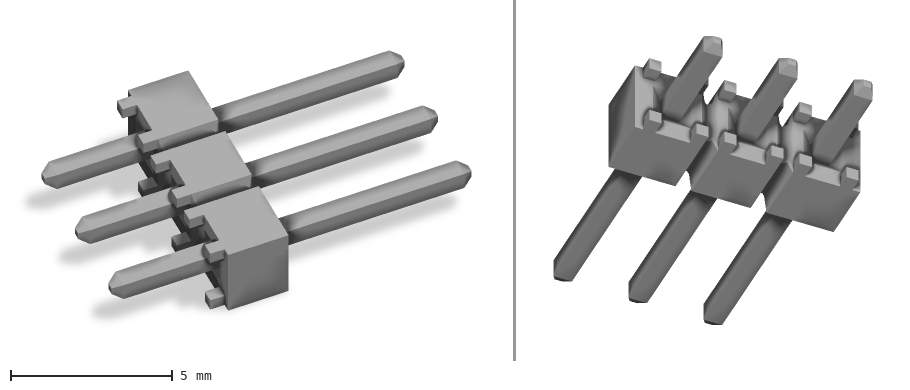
import cadquery as cq

PIN_COUNT = 3
HOUSING_LENGTH = 7.62
PITCH = HOUSING_LENGTH / PIN_COUNT
HOUSING_DEPTH = 2.05
HOUSING_HEIGHT = 2.54

GAP_WIDTH = 0.54
GAP_FLOOR_WIDTH = 0.25
WAIST_HEIGHT = 1.51
V_GROOVE_DEPTH = GAP_WIDTH / 2

FOOT_SIZE = 0.41
FOOT_LENGTH = 0.49

PIN_SIZE = 0.63
PIN_TIP_SIZE = 0.25
PIN_TIP_LENGTH = 0.33
PIN_LENGTH = 12.19
PIN_FRONT_LENGTH = 3.44

RECESS_OPENING = 1.32
RECESS_DEPTH = 0.24

pin_positions = [(i - (PIN_COUNT - 1) / 2) * PITCH for i in range(PIN_COUNT)]
gap_positions = [(i - PIN_COUNT / 2) * PITCH for i in range(1, PIN_COUNT)]


def square_frustum(x, y_start, start_size, y_end, end_size):
    """Square loft along Y between two sizes, centred on the pin axis at x."""
    return (
        cq.Workplane("XZ", origin=(x, y_start, 0))
        .rect(start_size, start_size)
        .workplane(offset=y_start - y_end)
        .rect(end_size, end_size)
        .loft()
    )


def make_pin(x):
    front = -PIN_FRONT_LENGTH
    back = front + PIN_LENGTH
    shaft_front = front + PIN_TIP_LENGTH
    shaft_back = back - PIN_TIP_LENGTH
    shaft = cq.Workplane("XY", origin=(x, shaft_front, 0)).box(
        PIN_SIZE, shaft_back - shaft_front, PIN_SIZE, centered=(True, False, True)
    )
    front_tip = square_frustum(x, shaft_front, PIN_SIZE, front, PIN_TIP_SIZE)
    back_tip = square_frustum(x, shaft_back, PIN_SIZE, back, PIN_TIP_SIZE)
    return shaft.union(front_tip).union(back_tip)


def make_feet(x):
    """Four feet, flush with the housing top and bottom and with the gap edges."""
    spacing_x = PITCH - GAP_WIDTH - FOOT_SIZE
    spacing_z = HOUSING_HEIGHT - FOOT_SIZE
    return (
        cq.Workplane("XZ", origin=(x, 0, 0))
        .rect(spacing_x, spacing_z, forConstruction=True)
        .vertices()
        .rect(FOOT_SIZE, FOOT_SIZE)
        .extrude(FOOT_LENGTH)
    )


def cut_gap(body, x):
    """Tapered notches above and below the waist, V grooves at its front and back."""
    for side in (1, -1):
        notch = (
            cq.Workplane("XZ", origin=(x, 0, 0))
            .polyline([
                (-GAP_WIDTH / 2, side * HOUSING_HEIGHT / 2),
                (-GAP_FLOOR_WIDTH / 2, side * WAIST_HEIGHT / 2),
                (GAP_FLOOR_WIDTH / 2, side * WAIST_HEIGHT / 2),
                (GAP_WIDTH / 2, side * HOUSING_HEIGHT / 2),
            ])
            .close()
            .extrude(-HOUSING_DEPTH)
        )
        body = body.cut(notch)
    for face_y, apex_y in (
        (0, V_GROOVE_DEPTH),
        (HOUSING_DEPTH, HOUSING_DEPTH - V_GROOVE_DEPTH),
    ):
        groove = (
            cq.Workplane("XY", origin=(x, 0, 0))
            .polyline([(-GAP_WIDTH / 2, face_y), (0, apex_y), (GAP_WIDTH / 2, face_y)])
            .close()
            .extrude(HOUSING_HEIGHT / 2, both=True)
        )
        body = body.cut(groove)
    return body


result = cq.Workplane("XY").box(
    HOUSING_LENGTH, HOUSING_DEPTH, HOUSING_HEIGHT, centered=(True, False, True)
)
for gap_x in gap_positions:
    result = cut_gap(result, gap_x)
for pin_x in pin_positions:
    recess = square_frustum(pin_x, 0, RECESS_OPENING, RECESS_DEPTH, PIN_SIZE)
    result = result.cut(recess).union(make_feet(pin_x)).union(make_pin(pin_x))